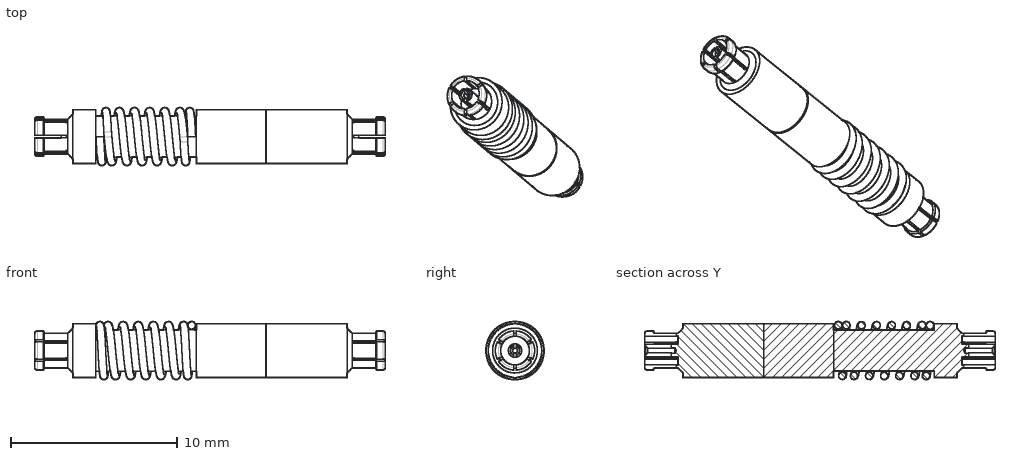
import cadquery as cq
import math

TOTAL_LENGTH = 21.08
OUTER_DIAMETER = 3.5

LIP_RADIUS = 1.18
LIP_LENGTH = 0.53
LIP_BACK_END = 0.6
LIP_FILLET = 0.17
BARREL_RADIUS = 1.05
BARREL_LENGTH = 2.0
BORE_RADIUS = 0.86
BORE_DEPTH = BARREL_LENGTH
SHOULDER_RADIUS = 1.35
SHOULDER_START = BARREL_LENGTH + SHOULDER_RADIUS - BARREL_RADIUS
SLOT_COUNT = 6
SLOT_WIDTH = 0.15
SLOT_LENGTH = 1.9

CONTACT_RADIUS = 0.4
CONTACT_RECESS = 0.06
SLIT_END = 1.6
SOCKET_RADIUS = 0.15
SOCKET_MOUTH_RADIUS = 0.27
SOCKET_END = SLOT_LENGTH
SOCKET_TIP_ANGLE = 118.0

BODY_RADIUS = 1.62
COLLAR_END = 3.69
SLEEVE_START = 9.72
SLEEVE_END = 13.93
SLEEVE_CHAMFER = 0.05
STEM_RADIUS = 1.25

WIRE_DIAMETER = 0.46
WIRE_RADIUS = WIRE_DIAMETER / 2
COIL_RADIUS = OUTER_DIAMETER / 2 - WIRE_RADIUS
REAR_CLEARANCE = 0.05
SPRING_START = COLLAR_END + WIRE_RADIUS
SPRING_END = SLEEVE_START - REAR_CLEARANCE - WIRE_RADIUS
CLOSED_PITCH = 0.48
OPEN_TURNS = 5
BLEND_TURNS = 10 / 360
CLOSED_TURNS = 1 - BLEND_TURNS
OPEN_ADVANCE = SPRING_END - SPRING_START - (2 * CLOSED_TURNS + BLEND_TURNS) * CLOSED_PITCH
OPEN_PITCH = OPEN_ADVANCE / (OPEN_TURNS + BLEND_TURNS)
BLEND_ADVANCE = BLEND_TURNS * (CLOSED_PITCH + OPEN_PITCH) / 2


def cylinder(radius, start, end):
    """Solid cylinder on the X axis from start to end."""
    return cq.Workplane("YZ", origin=(start, 0, 0)).circle(radius).extrude(end - start)


def plug_shell():
    """Barrel with its rounded lip and the cone that widens to the shoulder."""
    lip = cylinder(LIP_RADIUS, 0, LIP_LENGTH).faces("<X").edges().fillet(LIP_FILLET)
    barrel_and_cone = (
        cq.Workplane("XY")
        .moveTo(LIP_LENGTH, 0)
        .lineTo(LIP_LENGTH, LIP_RADIUS)
        .lineTo(LIP_BACK_END, BARREL_RADIUS)
        .lineTo(BARREL_LENGTH, BARREL_RADIUS)
        .lineTo(SHOULDER_START, SHOULDER_RADIUS)
        .lineTo(SHOULDER_START, 0)
        .close()
        .revolve(360, (0, 0, 0), (1, 0, 0))
    )
    bore = cylinder(BORE_RADIUS, 0, BORE_DEPTH)
    return lip.union(barrel_and_cone).cut(bore)


def barrel_slots():
    """Evenly spaced radial slots that divide the barrel wall into spring fingers."""
    slot = cq.Workplane("XY").box(SLOT_LENGTH, SLOT_WIDTH, LIP_RADIUS, centered=(False, True, False))
    slots = slot
    for index in range(1, SLOT_COUNT):
        slots = slots.union(slot.rotate((0, 0, 0), (1, 0, 0), index * 360 / SLOT_COUNT))
    return slots


def split_contact():
    """Round contact that stands on the bore floor, split by a slit across its front part."""
    contact = cylinder(CONTACT_RADIUS, CONTACT_RECESS, BORE_DEPTH)
    slit = cq.Workplane("XY").box(SLIT_END, SLOT_WIDTH, 2 * CONTACT_RADIUS, centered=(False, True, True))
    return contact.cut(slit)


def contact_socket():
    """Countersunk, drill-pointed hole along the contact."""
    countersink_depth = SOCKET_MOUTH_RADIUS - SOCKET_RADIUS
    tip_depth = SOCKET_RADIUS / math.tan(math.radians(SOCKET_TIP_ANGLE / 2))
    return (
        cq.Workplane("XY")
        .moveTo(CONTACT_RECESS, 0)
        .lineTo(CONTACT_RECESS, SOCKET_MOUTH_RADIUS)
        .lineTo(CONTACT_RECESS + countersink_depth, SOCKET_RADIUS)
        .lineTo(SOCKET_END - tip_depth, SOCKET_RADIUS)
        .lineTo(SOCKET_END, 0)
        .close()
        .revolve(360, (0, 0, 0), (1, 0, 0))
    )


def plug_end():
    """Complete plug end facing -X, up to its shoulder."""
    fingers = plug_shell().cut(barrel_slots())
    return fingers.union(split_contact()).cut(contact_socket())


def make_plunger():
    """Front plug end with its collar and the stem that carries the spring."""
    collar = cylinder(BODY_RADIUS, SHOULDER_START, COLLAR_END)
    stem = cylinder(STEM_RADIUS, COLLAR_END, SLEEVE_START)
    return plug_end().union(collar).union(stem)


def make_sleeve():
    """Cylinder that stops the spring; its rear edge is broken where it meets the rear plug."""
    return cylinder(BODY_RADIUS, SLEEVE_START, SLEEVE_END).faces(">X").edges().chamfer(SLEEVE_CHAMFER)


def make_rear_plug():
    """Rear body with a plug end that mirrors the front one."""
    body = cylinder(BODY_RADIUS, SLEEVE_END, TOTAL_LENGTH - SHOULDER_START)
    rear_end = plug_end().mirror("YZ").translate((TOTAL_LENGTH, 0, 0))
    return body.union(rear_end)


def coil(first_turn, turns, start_x, pitch):
    """Helical centreline about X that begins first_turn turns past the top, turning towards -Y."""
    helix = cq.Wire.makeHelix(pitch, turns * pitch, COIL_RADIUS)
    laid = helix.rotate(cq.Vector(0, 0, 0), cq.Vector(0, 1, 0), 90)
    turned = laid.rotate(cq.Vector(0, 0, 0), cq.Vector(1, 0, 0), 180 + 360 * first_turn)
    return turned.translate(cq.Vector(start_x, 0, 0))


def bend(before, after):
    """Smooth curve from the end of one coil to the start of the next."""
    ends = [before.endPoint(), after.startPoint()]
    return cq.Edge.makeSpline(ends, tangents=[before.tangentAt(1), after.tangentAt(0)])


def make_spring():
    """Round wire wound in open coils with one closed coil at each end."""
    open_start = SPRING_START + CLOSED_TURNS * CLOSED_PITCH + BLEND_ADVANCE
    open_end = open_start + OPEN_TURNS * OPEN_PITCH
    front_coil = coil(0, CLOSED_TURNS, SPRING_START, CLOSED_PITCH)
    open_coils = coil(0, OPEN_TURNS, open_start, OPEN_PITCH)
    rear_coil = coil(BLEND_TURNS, CLOSED_TURNS, open_end + BLEND_ADVANCE, CLOSED_PITCH)
    front_bend = bend(front_coil, open_coils)
    rear_bend = bend(open_coils, rear_coil)
    pieces = [front_coil, front_bend, open_coils, rear_bend, rear_coil]
    edges = [edge for piece in pieces for edge in piece.Edges()]
    path = cq.Workplane(cq.Wire.assembleEdges(edges))
    wire_end = cq.Plane(
        origin=(SPRING_START, 0, COIL_RADIUS),
        xDir=(1, 0, 0),
        normal=(0, -1, 0),
    )
    return cq.Workplane(wire_end).circle(WIRE_RADIUS).sweep(path, isFrenet=True)


plunger = make_plunger()
spring = make_spring()
sleeve = make_sleeve()
rear_plug = make_rear_plug()

bodies = [plunger, spring, sleeve, rear_plug]
result = cq.Compound.makeCompound([body.solids().val() for body in bodies])